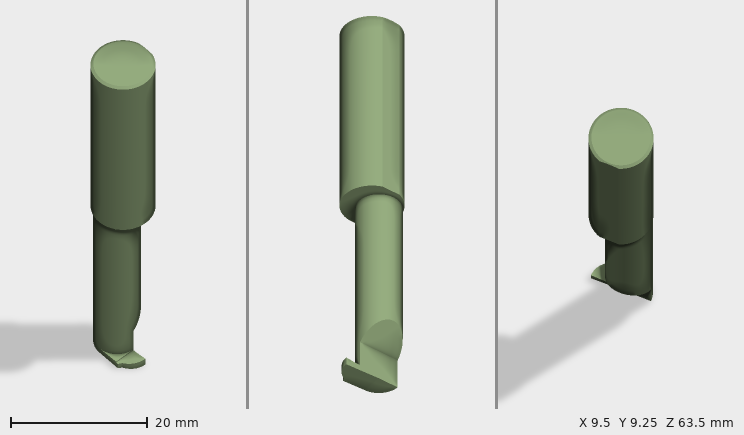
import cadquery as cq

TOTAL_LENGTH = 63.5
SHANK_RADIUS = 4.75
SHANK_LENGTH = 31.75
SHANK_FLAT_Y = 4.5
CHAMFER_RADIAL = 0.45
CHAMFER_AXIAL = 0.25

NECK_RADIUS = 3.5
NECK_X = NECK_RADIUS - SHANK_RADIUS
NECK_BOTTOM_Z = 0.3
RELIEF_Z = 5.35

HEAD_TOP_Z = 1.3
TOOTH_TOP_Z = 1.1
CORNER_X = 2.6
TOOTH_ROOT_X = 2.9
TOOTH_ROOT_Y = -2.9
TOOTH_BULGE_X = 4.3
TOOTH_BULGE_Y = -1.65
STEP_X = NECK_X + NECK_RADIUS


def make_shank():
    """Round shank with one long flat and a narrow chamfer around the top."""
    shank = cq.Workplane("XY", origin=(0, 0, SHANK_LENGTH)).circle(SHANK_RADIUS)
    shank = shank.extrude(TOTAL_LENGTH - SHANK_LENGTH)
    shank = shank.faces(">Z").chamfer(CHAMFER_AXIAL, CHAMFER_RADIAL)
    flat_tool = cq.Workplane("XY", origin=(0, SHANK_FLAT_Y, SHANK_LENGTH)).box(
        2 * SHANK_RADIUS, SHANK_RADIUS, TOTAL_LENGTH, centered=(True, False, False)
    )
    return shank.cut(flat_tool)


def make_neck():
    """Slim neck cut to a half round below a 45 degree run-out."""
    neck = cq.Workplane("XY", origin=(NECK_X, 0, NECK_BOTTOM_Z)).circle(NECK_RADIUS)
    neck = neck.extrude(SHANK_LENGTH - NECK_BOTTOM_Z)
    relief = (
        cq.Workplane("YZ", origin=(NECK_X, 0, 0))
        .moveTo(0, 0)
        .lineTo(0, RELIEF_Z)
        .lineTo(SHANK_RADIUS, RELIEF_Z + SHANK_RADIUS)
        .lineTo(SHANK_RADIUS, 0)
        .close()
        .extrude(NECK_RADIUS, both=True)
    )
    return neck.cut(relief)


def make_head():
    """Side tooth: its plan outline trimmed by a side profile that tapers to the tip."""
    plan = (
        cq.Workplane("XY")
        .moveTo(NECK_X, 0)
        .lineTo(NECK_X, -NECK_RADIUS)
        .lineTo(CORNER_X, -NECK_RADIUS)
        .lineTo(TOOTH_ROOT_X, TOOTH_ROOT_Y)
        .threePointArc((TOOTH_BULGE_X, TOOTH_BULGE_Y), (SHANK_RADIUS, 0))
        .close()
        .extrude(HEAD_TOP_Z)
    )
    profile = (
        cq.Workplane("XZ")
        .moveTo(NECK_X, NECK_BOTTOM_Z)
        .lineTo(SHANK_RADIUS, 0)
        .lineTo(SHANK_RADIUS, HEAD_TOP_Z)
        .lineTo(TOOTH_ROOT_X, TOOTH_TOP_Z)
        .lineTo(STEP_X, TOOTH_TOP_Z)
        .lineTo(STEP_X, HEAD_TOP_Z)
        .lineTo(NECK_X, HEAD_TOP_Z)
        .close()
        .extrude(NECK_RADIUS)
    )
    return plan.intersect(profile)


result = make_shank().union(make_neck()).union(make_head())